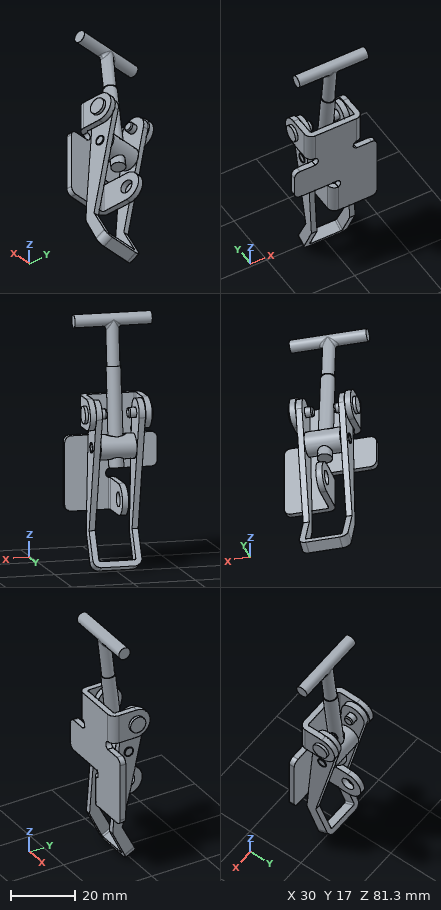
import cadquery as cq
import math


sheet = 2.0
inner_bend_radius = 0.5
outer_bend_radius = inner_bend_radius + sheet

plate_width = 30.0
corner_radius = 2.0
wing_top = -7.9
wing_bottom = -18.95
ear_height = 10.0
ear_radius = ear_height / 2
ear_outer_x = 10.0
rivet_y = 9.0
tab_outer_x = -1.6
tab_z = -26.8
tab_height = 10.2
tab_radius = tab_height / 2
tab_reach = 17.0
tab_hole_y = tab_reach - tab_radius
tab_hole_radius = 2.3
ear_relief_x = 7.8
tab_relief_x = 0.3

rivet_radius = 1.6
rivet_head_radius = 2.8
rivet_head_height = 1.0
rivet_inner_x = 3.5
rivet_tip_length = 0.5
rivet_tip_inset = 0.25

lever_half_width = ear_outer_x - sheet
lever_inner_half_width = lever_half_width - sheet
lever_eye_radius = 4.5
front_elbow = (1.55, -39.0)
rear_elbow = (5.1, -37.8)
front_tip = (7.0, -50.4)
foot_width = 4.1
foot_angle = math.radians(26.6)
rear_tip = (front_tip[0] + foot_width * math.cos(foot_angle),
            front_tip[1] + foot_width * math.sin(foot_angle))

trunnion_y = 7.5
trunnion_z = -10.9
trunnion_radius = 4.0
trunnion_half_length = 5.8
journal_radius = 1.6
journal_chamfer = 0.25
countersink_radius = 3.3
countersink_angle = math.radians(60)

rod_tilt = 6.3
thread_radius = 2.35
rod_radius = 2.1
rod_below = 6.5
shoulder = 25.3
bar_distance = 39.9
bar_radius = 2.1
bar_length = 25.0
bar_fillet = 1.0


def block(x_range, y_range, z_range):
    """Box between the given limits."""
    size = [high - low for low, high in (x_range, y_range, z_range)]
    corner = (x_range[0], y_range[0], z_range[0])
    return cq.Workplane("XY").box(*size, centered=False).translate(corner)


def cylinder_x(radius, start, end, y, z):
    """Cylinder along X with its axis at (y, z)."""
    return cq.Workplane("YZ", origin=(start, y, z)).circle(radius).extrude(end - start)


def flange(outer_x, z_mid, height, reach):
    """Bent-up flange with a round end, starting at the bend line on the plate."""
    section = (
        cq.Workplane("XY", origin=(outer_x, 0, z_mid - height / 2))
        .moveTo(outer_bend_radius, 0)
        .radiusArc((0, outer_bend_radius), outer_bend_radius)
        .lineTo(0, reach)
        .lineTo(sheet, reach)
        .lineTo(sheet, outer_bend_radius)
        .radiusArc((outer_bend_radius, sheet), -inner_bend_radius)
        .close()
        .extrude(height)
    )
    end_radius = height / 2
    end_y = reach - end_radius
    x_range = (outer_x, outer_x + outer_bend_radius)
    straight = block(x_range, (0, end_y), (z_mid - end_radius, z_mid + end_radius))
    rounded = cylinder_x(end_radius, x_range[0], x_range[1], end_y, z_mid)
    return section.intersect(straight.union(rounded))


def relief(x, open_x, top, bottom):
    """Bend relief: round end at x, open toward open_x."""
    radius = (top - bottom) / 2
    middle = (top + bottom) / 2
    round_end = cq.Workplane("XZ", origin=(x, sheet, middle)).circle(radius).extrude(sheet)
    return round_end.union(block(sorted((x, open_x)), (0, sheet), (bottom, top)))


def make_bracket():
    half_width = plate_width / 2
    thickness = (0, sheet)
    ear_bend_x = ear_outer_x - outer_bend_radius
    tab_bend_x = tab_outer_x + outer_bend_radius
    tab_top = tab_z + tab_radius
    tab_bottom = tab_z - tab_radius

    neck = block((-ear_bend_x, ear_bend_x), thickness, (wing_top, ear_radius))
    wing = block((-half_width, tab_bend_x), thickness, (wing_bottom, wing_top))
    wing = wing.edges("|Y and <X").fillet(corner_radius)
    column = block((tab_bend_x, half_width), thickness, (tab_bottom, wing_top))
    column = column.edges("|Y and >X").fillet(corner_radius)
    plate = neck.union(wing).union(column)
    for side in (-1, 1):
        plate = plate.cut(relief(side * ear_relief_x, side * ear_outer_x, -ear_radius, wing_top))
    plate = plate.cut(relief(tab_relief_x, tab_outer_x, wing_bottom, tab_top))

    ear = flange(-ear_outer_x, 0, ear_height, rivet_y + ear_radius)
    ear = ear.cut(cylinder_x(rivet_radius, -ear_outer_x, 0, rivet_y, 0))
    tab = flange(tab_outer_x, tab_z, tab_height, tab_reach)
    tab = tab.cut(cylinder_x(tab_hole_radius, tab_outer_x, tab_bend_x, tab_hole_y, tab_z))
    return plate.union(ear).union(ear.mirror("YZ")).union(tab)


def make_rivet(side):
    head_top_x = ear_outer_x + rivet_head_height
    half_section = [
        (rivet_inner_x, 0),
        (rivet_inner_x, rivet_radius - rivet_tip_inset),
        (rivet_inner_x + rivet_tip_length, rivet_radius),
        (ear_outer_x, rivet_radius),
        (ear_outer_x, rivet_head_radius),
        (head_top_x, rivet_head_radius),
        (head_top_x, 0),
    ]
    section = cq.Workplane("XY").polyline([(side * x, r) for x, r in half_section]).close()
    return section.revolve(360, (0, 0, 0), (1, 0, 0)).translate((0, rivet_y, 0))


def eye_tangent(point, side):
    """Tangent point on the lever eye, front (-1) or rear (+1), of the line from point."""
    dy = point[0] - rivet_y
    dz = point[1]
    angle = math.atan2(dz, dy) + side * math.acos(lever_eye_radius / math.hypot(dy, dz))
    return (rivet_y + lever_eye_radius * math.cos(angle), lever_eye_radius * math.sin(angle))


def lever_slab(half_width, foot_inset, bend_radius):
    """Side outline of the lever across a given width, shortened at the foot and rounded there."""
    inset_y = -foot_inset * math.sin(foot_angle)
    inset_z = foot_inset * math.cos(foot_angle)
    slab = (
        cq.Workplane("YZ", origin=(-half_width, 0, 0))
        .moveTo(*eye_tangent(front_elbow, -1))
        .threePointArc((rivet_y, lever_eye_radius), eye_tangent(rear_elbow, 1))
        .lineTo(*rear_elbow)
        .lineTo(rear_tip[0] + inset_y, rear_tip[1] + inset_z)
        .lineTo(front_tip[0] + inset_y, front_tip[1] + inset_z)
        .lineTo(*front_elbow)
        .close()
        .extrude(2 * half_width)
    )
    foot_face = slab.faces(cq.selectors.DirectionMinMaxSelector(
        cq.Vector(0, math.sin(foot_angle), -math.cos(foot_angle))))
    return foot_face.edges("not |X").fillet(bend_radius)


def make_lever():
    outside = lever_slab(lever_half_width, 0, outer_bend_radius)
    inside = lever_slab(lever_inner_half_width, sheet, inner_bend_radius)
    lever = outside.cut(inside)
    for radius, y, z in ((rivet_radius, rivet_y, 0), (journal_radius, trunnion_y, trunnion_z)):
        lever = lever.cut(cylinder_x(radius, -lever_half_width, lever_half_width, y, z))
    return lever


def place_on_trunnion(body):
    tilted = body.rotate((0, 0, 0), (1, 0, 0), rod_tilt)
    return tilted.translate((0, trunnion_y, trunnion_z))


def make_trunnion():
    barrel = cylinder_x(trunnion_radius, -trunnion_half_length, trunnion_half_length, 0, 0)
    journals = cylinder_x(journal_radius, -lever_half_width, lever_half_width, 0, 0)
    journals = journals.faces("<X or >X").chamfer(journal_chamfer)
    hole = cq.Workplane("XY").circle(thread_radius).extrude(2 * trunnion_radius, both=True)
    countersink_depth = countersink_radius / math.tan(countersink_angle)
    countersink = (
        cq.Workplane("XZ")
        .moveTo(0, trunnion_radius)
        .lineTo(countersink_radius, trunnion_radius)
        .lineTo(0, trunnion_radius - countersink_depth)
        .close()
        .revolve(360, (0, 0, 0), (0, 1, 0))
    )
    return place_on_trunnion(barrel.union(journals).cut(hole).cut(countersink))


def make_pull_rod():
    thread_length = rod_below + shoulder
    thread = cq.Workplane("XY", origin=(0, 0, -rod_below)).circle(thread_radius).extrude(thread_length)
    rod = cq.Workplane("XY", origin=(0, 0, shoulder)).circle(rod_radius).extrude(bar_distance - shoulder)
    bar = cylinder_x(bar_radius, -bar_length / 2, bar_length / 2, 0, bar_distance)
    handle = rod.union(bar)
    seam_zone = cq.selectors.BoxSelector(
        (-2 * rod_radius, -2 * rod_radius, shoulder + rod_radius),
        (2 * rod_radius, 2 * rod_radius, bar_distance),
    )
    handle = handle.edges(seam_zone).edges("not |X").fillet(bar_fillet)
    return place_on_trunnion(thread.union(handle))


bracket = make_bracket()
lever = make_lever()
trunnion = make_trunnion()
pull_rod = make_pull_rod()
rivets = [make_rivet(side) for side in (-1, 1)]

result = cq.Compound.makeCompound([
    bracket.val(),
    lever.val(),
    trunnion.val(),
    pull_rod.val(),
    *[rivet.val() for rivet in rivets],
])